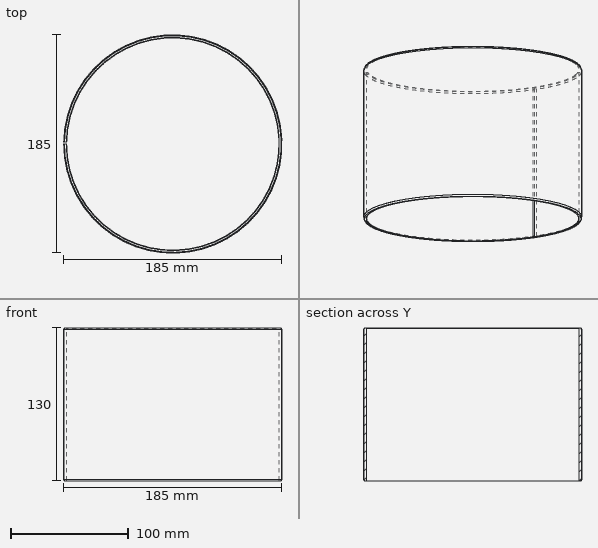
import cadquery as cq

outer_diameter = 185.0
wall = 2.5
height = 130.0

outer_chamfer_width = 0.65
outer_chamfer_height = 1.5
inner_chamfer = 0.35

slit_angle = 1.0
slit_start_angle = 180.0

outer_radius = outer_diameter / 2
inner_radius = outer_radius - wall


def wall_section():
    """Cross-section of the wall, with radius along X and height along Z."""
    return (
        cq.Workplane("XZ")
        .moveTo(inner_radius + inner_chamfer, 0)
        .lineTo(outer_radius - outer_chamfer_width, 0)
        .lineTo(outer_radius, outer_chamfer_height)
        .lineTo(outer_radius, height - outer_chamfer_height)
        .lineTo(outer_radius - outer_chamfer_width, height)
        .lineTo(inner_radius + inner_chamfer, height)
        .lineTo(inner_radius, height - inner_chamfer)
        .lineTo(inner_radius, inner_chamfer)
        .close()
    )


def make_sleeve():
    """Sweep the wall around Z and turn it so the slit starts on the -X axis."""
    sleeve = wall_section().revolve(360 - slit_angle, (0, 0, 0), (0, 1, 0))
    return sleeve.rotate((0, 0, 0), (0, 0, 1), slit_start_angle)


result = make_sleeve()